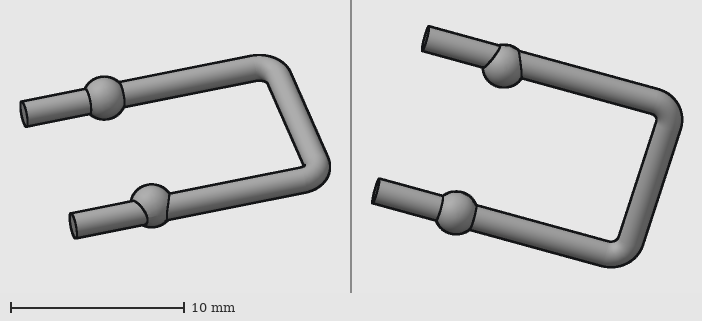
import cadquery as cq

total_length = 15.75
wire_diameter = 1.5
leg_spacing = 10.0
bend_radius = 1.2
bead_diameter = 2.5
bead_distance = 4.84
right_bead_inset = 0.36

leg_x = leg_spacing / 2
bridge_y = total_length - wire_diameter / 2
right_bead_x = leg_x - right_bead_inset


def make_wire():
    """U-shaped round wire with its free ends at Y = 0."""
    path = (
        cq.Workplane("XY")
        .moveTo(-leg_x, 0)
        .lineTo(-leg_x, bridge_y - bend_radius)
        .radiusArc((-leg_x + bend_radius, bridge_y), bend_radius)
        .lineTo(leg_x - bend_radius, bridge_y)
        .radiusArc((leg_x, bridge_y - bend_radius), bend_radius)
        .lineTo(leg_x, 0)
    )
    return cq.Workplane("XZ").center(-leg_x, 0).circle(wire_diameter / 2).sweep(path)


def make_bead(center_x):
    """Full ball at the bead distance along a leg."""
    return cq.Workplane("XY").sphere(bead_diameter / 2).translate((center_x, bead_distance, 0))


wire = make_wire()
beaded_wire = wire.union(make_bead(-leg_x))
loose_bead = make_bead(right_bead_x).cut(wire)

result = cq.Compound.makeCompound([beaded_wire.val(), loose_bead.val()])